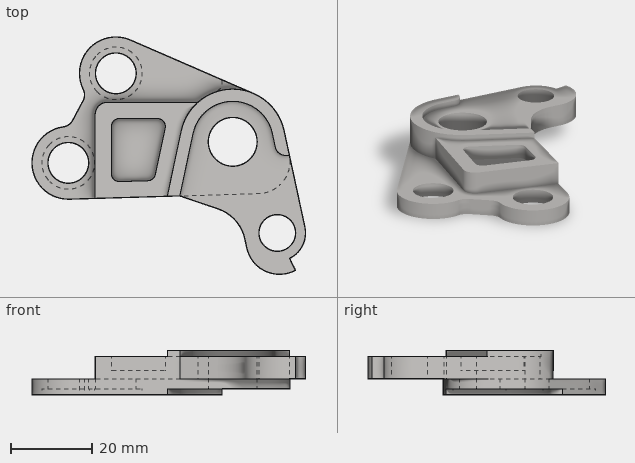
import cadquery as cq
import math

pad_height = 1.5
lug_top = 4.0
body_top = 9.5
rim_top = 11.0

axle = (0.0, 0.0)
axle_hole_radius = 6.0
axle_end_radius = 13.0
upper_lug = (-28.85, 16.9)
left_lug = (-40.58, -5.2)
lug_hole_radius = 5.0
lug_radius = 9.0
lug_counterbore_radius = 6.5
lug_counterbore_depth = 1.5
hanger = (11.0, -22.5)
hanger_hole_radius = 4.5
hanger_end_radius = 7.0

waist_offset = 4.0
waist_fillet = 3.0
plate_corner_radius = 8.0
plate_corner_drop = 6.0

rim_width = 3.0
seat_radius = axle_end_radius - rim_width
rim_slope = 78.0
rim_end_y = -3.35
recess_end_x = -2.6
wall_end_fillet = 2.5

block_left = -33.95
block_back = 9.75
block_corner_radius = 3.0
pocket_wall = 4.0
pocket_corner_radius = 2.0
pocket_depth = 3.5

arm_slope = -18.7
arm_inner_radius = 10.0
hook = (11.55, -24.45)
hook_radius = 8.29

margin = 30.0


def along(point, direction, distance):
    return (point[0] + distance * direction[0], point[1] + distance * direction[1])


def heading(degrees):
    return (math.cos(math.radians(degrees)), math.sin(math.radians(degrees)))


def heading_between(start, end):
    length = math.dist(start, end)
    return ((end[0] - start[0]) / length, (end[1] - start[1]) / length)


def left_of(direction):
    return (-direction[1], direction[0])


def reverse(direction):
    return (-direction[0], -direction[1])


def crossing(point_a, direction_a, point_b, direction_b):
    """Point where two straight lines meet."""
    determinant = direction_a[0] * direction_b[1] - direction_a[1] * direction_b[0]
    gap = (point_b[0] - point_a[0], point_b[1] - point_a[1])
    distance = (gap[0] * direction_b[1] - gap[1] * direction_b[0]) / determinant
    return along(point_a, direction_a, distance)


def arc_middle(center, start, end, radius):
    """Middle of the shorter arc from start to end."""
    chord_middle = ((start[0] + end[0]) / 2, (start[1] + end[1]) / 2)
    return along(center, heading_between(center, chord_middle), radius)


def outer_normal(center_a, radius_a, center_b, radius_b):
    """Normal of the common tangent on the left of the way from circle a to circle b."""
    direction = heading_between(center_a, center_b)
    sine = (radius_a - radius_b) / math.dist(center_a, center_b)
    sideways = left_of(direction)
    return along((sine * direction[0], sine * direction[1]), sideways, math.sqrt(1 - sine**2))


right_normal = outer_normal(axle, axle_end_radius, hanger, hanger_end_radius)
right_down = reverse(left_of(right_normal))
rim_up = heading(rim_slope)
rim_normal = left_of(rim_up)
rim_outer_tangent = along(axle, rim_normal, axle_end_radius)
rim_inner_tangent = along(axle, rim_normal, seat_radius)
right_tangent = along(axle, right_normal, axle_end_radius)
seat_right_tangent = along(axle, right_normal, seat_radius)
axle_end_top = (0.0, axle_end_radius)

plate_corner_inset = along(axle, right_normal, axle_end_radius - plate_corner_radius)
plate_corner = along(plate_corner_inset, right_down, plate_corner_drop)
front_normal = outer_normal(plate_corner, plate_corner_radius, left_lug, lug_radius)
front_direction = left_of(front_normal)
front_left = along(left_lug, front_normal, lug_radius)
front_right = along(plate_corner, front_normal, plate_corner_radius)
rim_outer_foot = crossing(front_left, front_direction, rim_outer_tangent, rim_up)
rim_inner_foot = crossing(front_left, front_direction, rim_inner_tangent, rim_up)


def lug_plate():
    back_normal = outer_normal(upper_lug, lug_radius, axle, axle_end_radius)
    back_left = along(upper_lug, back_normal, lug_radius)
    back_right = along(axle, back_normal, axle_end_radius)
    right_end = along(plate_corner, right_normal, plate_corner_radius)

    toward_upper = heading_between(left_lug, upper_lug)
    outward = left_of(toward_upper)
    fillet_out = waist_offset + waist_fillet
    fillet_along = math.sqrt((lug_radius + waist_fillet) ** 2 - fillet_out**2)

    def waist_points(lug, toward_other):
        center = along(along(lug, outward, fillet_out), toward_other, fillet_along)
        on_lug = along(lug, heading_between(lug, center), lug_radius)
        on_edge = along(center, outward, -waist_fillet)
        return on_lug, arc_middle(center, on_lug, on_edge, waist_fillet), on_edge

    left_join, left_middle, left_edge = waist_points(left_lug, toward_upper)
    upper_join, upper_middle, upper_edge = waist_points(upper_lug, reverse(toward_upper))

    return (
        cq.Workplane("XY")
        .moveTo(*back_left)
        .lineTo(*back_right)
        .threePointArc(arc_middle(axle, back_right, right_tangent, axle_end_radius), right_tangent)
        .lineTo(*right_end)
        .threePointArc(arc_middle(plate_corner, right_end, front_right, plate_corner_radius), front_right)
        .lineTo(*front_left)
        .threePointArc((left_lug[0] - lug_radius, left_lug[1]), left_join)
        .threePointArc(left_middle, left_edge)
        .lineTo(*upper_edge)
        .threePointArc(upper_middle, upper_join)
        .threePointArc((upper_lug[0] - lug_radius, upper_lug[1]), back_left)
        .close()
        .extrude(lug_top)
    )


def hanger_body():
    arm_direction = heading(arm_slope)
    neck_end = along(hook, right_normal, -hook_radius)
    arc_center = crossing(
        along(rim_inner_foot, left_of(arm_direction), -arm_inner_radius),
        arm_direction,
        along(neck_end, right_normal, -arm_inner_radius),
        right_down,
    )
    arm_end = along(arc_center, left_of(arm_direction), arm_inner_radius)
    neck_start = along(arc_center, right_normal, arm_inner_radius)

    stop_direction = heading_between(axle, hanger)
    stop_inner = along(hanger, stop_direction, hanger_end_radius)
    hook_gap = (hanger[0] - hook[0], hanger[1] - hook[1])
    gap_along = hook_gap[0] * stop_direction[0] + hook_gap[1] * stop_direction[1]
    gap_squared = hook_gap[0] ** 2 + hook_gap[1] ** 2
    stop_reach = math.sqrt(gap_along**2 - gap_squared + hook_radius**2) - gap_along
    stop_outer = along(hanger, stop_direction, stop_reach)

    right_end = along(hanger, right_normal, hanger_end_radius)
    return (
        cq.Workplane("XY", origin=(0, 0, lug_top))
        .moveTo(*rim_outer_foot)
        .lineTo(*rim_inner_foot)
        .lineTo(*arm_end)
        .threePointArc(arc_middle(arc_center, arm_end, neck_start, arm_inner_radius), neck_start)
        .lineTo(*neck_end)
        .threePointArc(arc_middle(hook, neck_end, stop_outer, hook_radius), stop_outer)
        .lineTo(*stop_inner)
        .threePointArc(arc_middle(hanger, stop_inner, right_end, hanger_end_radius), right_end)
        .lineTo(*right_tangent)
        .threePointArc(axle_end_top, rim_outer_tangent)
        .close()
        .extrude(body_top - lug_top)
    )


def block():
    front_corner = crossing(front_left, front_direction, (block_left, 0), (0, 1))
    back_corner = (block_left, block_back)
    return (
        cq.Workplane("XY", origin=(0, 0, lug_top))
        .polyline([front_corner, rim_outer_foot, (axle[0], block_back), back_corner])
        .close()
        .extrude(body_top - lug_top)
        .edges(cq.selectors.NearestToPointSelector((*back_corner, (lug_top + body_top) / 2)))
        .fillet(block_corner_radius)
    )


def pocket():
    left = (block_left + pocket_wall, 0)
    back = (0, block_back - pocket_wall)
    front = along(front_left, front_normal, -pocket_wall)
    right = along(rim_outer_tangent, rim_normal, pocket_wall)
    corners = [
        crossing(left, (0, 1), front, front_direction),
        crossing(right, rim_up, front, front_direction),
        crossing(right, rim_up, back, (1, 0)),
        crossing(left, (0, 1), back, (1, 0)),
    ]
    return (
        cq.Workplane("XY", origin=(0, 0, body_top - pocket_depth))
        .polyline(corners)
        .close()
        .extrude(pocket_depth)
        .edges("|Z")
        .fillet(pocket_corner_radius)
    )


def rim():
    end_outer = crossing(right_tangent, right_down, (0, rim_end_y), (1, 0))
    end_inner = crossing(seat_right_tangent, right_down, (0, rim_end_y), (1, 0))
    return (
        cq.Workplane("XY", origin=(0, 0, body_top))
        .moveTo(*rim_outer_foot)
        .lineTo(*rim_outer_tangent)
        .threePointArc(axle_end_top, right_tangent)
        .lineTo(*end_outer)
        .lineTo(*end_inner)
        .lineTo(*seat_right_tangent)
        .threePointArc((0, seat_radius), rim_inner_tangent)
        .lineTo(*rim_inner_foot)
        .close()
        .extrude(rim_top - body_top)
        .edges(cq.selectors.NearestToPointSelector((*end_inner, (body_top + rim_top) / 2)))
        .fillet(wall_end_fillet)
    )


def underside_recess():
    arc_end = (recess_end_x, math.sqrt(axle_end_radius**2 - recess_end_x**2))
    start = along(rim_outer_foot, rim_up, -margin)
    return (
        cq.Workplane("XY")
        .moveTo(*start)
        .lineTo(*rim_outer_tangent)
        .threePointArc(arc_middle(axle, rim_outer_tangent, arc_end, axle_end_radius), arc_end)
        .lineTo(recess_end_x, margin)
        .lineTo(margin, margin)
        .lineTo(margin, start[1])
        .close()
        .extrude(pad_height)
        .edges(cq.selectors.NearestToPointSelector((*arc_end, pad_height / 2)))
        .fillet(wall_end_fillet)
    )


def bore(center, radius, depth):
    """Round cutter going up from the underside."""
    return cq.Workplane("XY").center(*center).circle(radius).extrude(depth)


result = lug_plate().cut(underside_recess())
result = result.union(hanger_body()).union(block()).union(rim())
result = result.cut(pocket())
result = result.cut(bore(axle, axle_hole_radius, rim_top))
result = result.cut(bore(hanger, hanger_hole_radius, rim_top))
for lug in (upper_lug, left_lug):
    result = result.cut(bore(lug, lug_hole_radius, rim_top))
    result = result.cut(bore(lug, lug_counterbore_radius, lug_counterbore_depth))